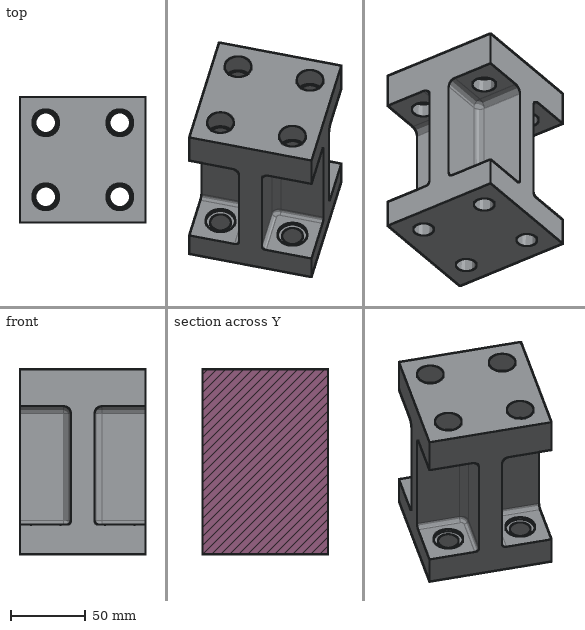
import cadquery as cq

side = 85.0
height = 125.0

base_thickness = 20.0
top_thickness = 25.0
web_thickness = 16.0
upper_fillet = 5.0
lower_fillet = 3.0

hole_spacing = 50.0
top_hole_diameter = 16.0
top_counterbore_diameter = 18.0
top_counterbore_depth = 15.0
base_hole_diameter = 14.0
spotface_diameter = 20.0
spotface_depth = 2.0

pocket_size = (side - web_thickness) / 2
pocket_height = height - base_thickness - top_thickness
pocket_center = (side + web_thickness) / 4


def corner_pocket(x_sign, y_sign):
    """Cutter for one corner between the webs, rounded where it meets webs and flanges."""
    inner_x = ">X" if x_sign < 0 else "<X"
    inner_y = ">Y" if y_sign < 0 else "<Y"
    pocket = (
        cq.Workplane("XY")
        .box(pocket_size, pocket_size, pocket_height, centered=(True, True, False))
        .translate((x_sign * pocket_center, y_sign * pocket_center, base_thickness))
    )
    pocket = pocket.faces(inner_x).edges(inner_y).edges("|Z").fillet(upper_fillet)
    pocket = pocket.faces(">Z").edges(inner_x).fillet(upper_fillet)
    return pocket.faces("<Z").edges(inner_x).fillet(lower_fillet)


def vertical_holes(diameter, bottom, depth):
    """Cylinders at all four bolt positions."""
    return (
        cq.Workplane("XY", origin=(0, 0, bottom))
        .rect(hole_spacing, hole_spacing, forConstruction=True)
        .vertices()
        .circle(diameter / 2)
        .extrude(depth)
    )


result = cq.Workplane("XY").box(side, side, height, centered=(True, True, False))

for x_sign in (-1, 1):
    for y_sign in (-1, 1):
        result = result.cut(corner_pocket(x_sign, y_sign))

result = result.cut(vertical_holes(top_hole_diameter, height - top_thickness, top_thickness))
result = result.cut(
    vertical_holes(top_counterbore_diameter, height - top_counterbore_depth, top_counterbore_depth)
)
result = result.cut(vertical_holes(base_hole_diameter, 0, base_thickness))
result = result.cut(vertical_holes(spotface_diameter, base_thickness - spotface_depth, spotface_depth))